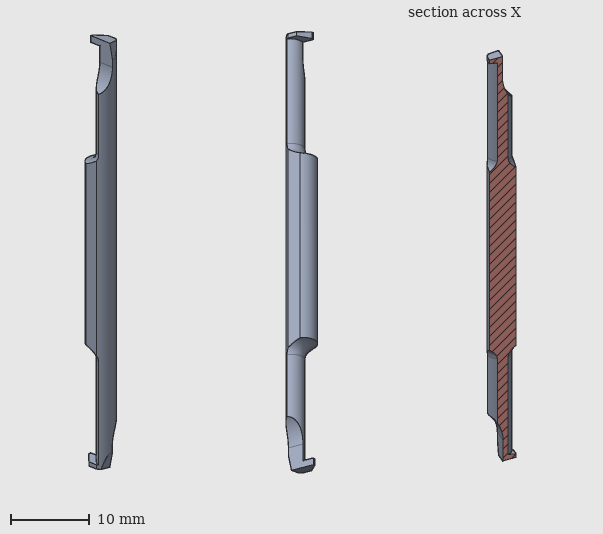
import cadquery as cq
import math

bar_length = 60.0
bar_radius = 2.01
flat_thickness = 3.6
half_length = bar_length / 2

neck_radius = 1.7
neck_axis_x = 1.5
grip_length = 25.55
shoulder_radius = 1.85
clearance = 6.0

hook_tip_x = -1.75
hook_thickness = 0.95
hook_land = 0.35
hook_heel_x = -0.35
relief_drop = 0.2
nose_width = 1.55
nose_length = 2.15
nose_relief_angle = 8.0

rake_length = 3.25
rake_runout_radius = 4.6

half_thickness = flat_thickness / 2
relief_slope = relief_drop / half_thickness
hook_underside_z = half_length - hook_thickness


def make_blank():
    """Round bar with two side flats."""
    bar = cq.Workplane("XY").circle(bar_radius).extrude(half_length, both=True)
    flats = cq.Workplane("XY").box(2 * clearance, flat_thickness, 2 * bar_length)
    return bar.intersect(flats)


def neck_cutter():
    """Ring around the eccentric neck, from the swept shoulder to the relieved hook underside."""
    shoulder_z = grip_length / 2
    outer_radius = neck_radius + clearance
    arc_angle = math.radians(45)
    arc_mid = (
        neck_radius + shoulder_radius * (1 - math.cos(arc_angle)),
        shoulder_z + shoulder_radius * (1 - math.sin(arc_angle)),
    )
    ring = (
        cq.Workplane("XZ")
        .moveTo(neck_radius, half_length)
        .lineTo(neck_radius, shoulder_z + shoulder_radius)
        .threePointArc(arc_mid, (neck_radius + shoulder_radius, shoulder_z))
        .lineTo(outer_radius, shoulder_z)
        .lineTo(outer_radius, half_length)
        .close()
        .revolve(360, (0, 0, 0), (0, 1, 0))
        .translate((neck_axis_x, 0, 0))
    )
    rise = relief_slope * clearance
    below_hook = (
        cq.Workplane("YZ")
        .polyline([
            (-clearance, 0),
            (clearance, 0),
            (clearance, hook_underside_z + rise),
            (-clearance, hook_underside_z - rise),
        ])
        .close()
        .extrude(-clearance)
        .translate((neck_axis_x, 0, 0))
    )
    return ring.intersect(below_hook)


def rake_cutter():
    """Removes the -Y half at the end, running out along an arc."""
    rake_z = half_length - rake_length
    arc_angle = math.radians(45)
    arc_mid = (
        -rake_runout_radius * (1 - math.cos(arc_angle)),
        rake_z - rake_runout_radius * math.sin(arc_angle),
    )
    return (
        cq.Workplane("YZ")
        .moveTo(0, half_length + clearance)
        .lineTo(0, rake_z)
        .threePointArc(arc_mid, (-rake_runout_radius, rake_z - rake_runout_radius))
        .lineTo(-rake_runout_radius, half_length + clearance)
        .close()
        .extrude(clearance, both=True)
    )


def flank_cutter():
    """Trims the hook's tip to an upright land followed by a slanted flank."""
    return (
        cq.Workplane("XY")
        .workplane(offset=hook_underside_z - relief_drop)
        .polyline([
            (hook_tip_x, -clearance),
            (hook_tip_x, hook_land),
            (hook_heel_x, half_thickness),
            (-clearance, half_thickness),
            (-clearance, -clearance),
        ])
        .close()
        .extrude(clearance)
    )


def nose_cutter():
    """Slopes the +X back of the bar towards its end."""
    slope_end_x = nose_width + 2 * (bar_radius - nose_width)
    slope_end_z = half_length - 2 * nose_length
    return (
        cq.Workplane("XZ")
        .polyline([
            (nose_width, half_length),
            (slope_end_x, slope_end_z),
            (clearance, slope_end_z),
            (clearance, half_length),
        ])
        .close()
        .extrude(clearance, both=True)
        .rotate((nose_width, 0, 0), (nose_width, 0, 1), nose_relief_angle)
    )


def end_relief_cutter():
    """Slopes the end face away from the cutting edge."""
    return (
        cq.Workplane("YZ")
        .polyline([
            (0, half_length),
            (clearance, half_length - relief_slope * clearance),
            (clearance, half_length),
        ])
        .close()
        .extrude(clearance, both=True)
    )


def make_boring_bar():
    """Double-ended bar: the same head at both ends, half a turn apart about X."""
    bar = make_blank()
    cutters = [neck_cutter(), rake_cutter(), flank_cutter(), nose_cutter(), end_relief_cutter()]
    for turn in (0, 180):
        for cutter in cutters:
            bar = bar.cut(cutter.rotate((0, 0, 0), (1, 0, 0), turn))
    return bar


boring_bar = make_boring_bar()
result = cq.Compound.makeCompound([boring_bar.val()])